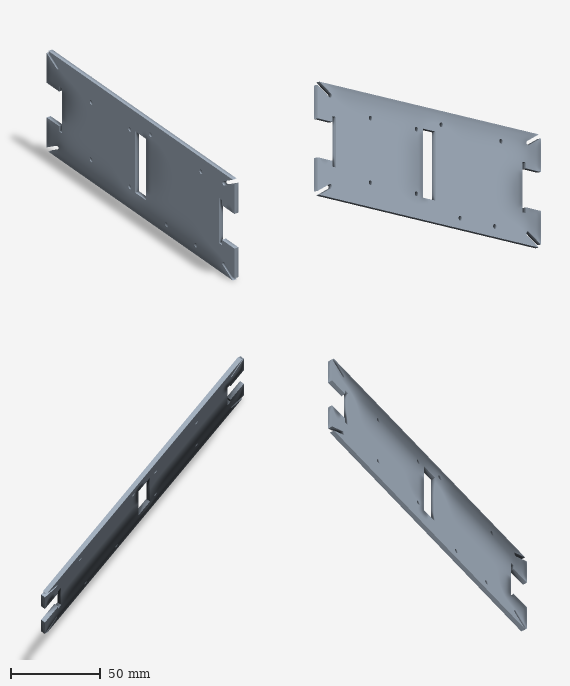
import cadquery as cq
import math

length = 180.0
thickness = 2.7
height = 65.0

notch_height = 22.3
notch_depth = 12.0
undercut_height = 29.0
undercut_width = thickness

slot_width = 2.5
slot_angle = 30.0
slot_end_inset_x = 10.3
slot_end_inset_z = 6.5
slot_run = 21.6

window_width = 10.3
window_height = 39.6

hole_diameter = 2.7
pattern_center_x = -28.8
pattern_pitch = 37.0
single_holes = [(9.7, 24.5), (58.0, 23.2), (25.0, -26.5), (53.0, -26.5)]


def bar(width, depth, center_x, center_z=0.0):
    """Box through the plate, width along X and depth along Z."""
    return cq.Workplane("XY").box(width, 2 * thickness, depth).translate((center_x, 0, center_z))


def end_notch(side):
    """T-shaped notch at the end given by side (-1 or 1)."""
    edge = side * length / 2
    mouth = bar(2 * notch_depth, notch_height, edge)
    undercut_x = edge - side * (notch_depth + undercut_width / 2)
    return mouth.union(bar(undercut_width, undercut_height, undercut_x))


def corner_slot(side_x, side_z):
    """Slot from its round inner end out through one corner."""
    end_x = side_x * (length / 2 - slot_end_inset_x)
    end_z = side_z * (height / 2 - slot_end_inset_z)
    angle = math.radians(slot_angle)
    center_x = end_x + side_x * slot_run / 2 * math.cos(angle)
    center_z = end_z + side_z * slot_run / 2 * math.sin(angle)
    return (
        cq.Workplane("XZ")
        .center(center_x, center_z)
        .slot2D(slot_run + slot_width, slot_width, side_x * side_z * slot_angle)
        .extrude(thickness, both=True)
    )


plate = cq.Workplane("XY").box(length, thickness, height)
plate = plate.cut(bar(window_width, window_height, 0))

for side_x in (-1, 1):
    plate = plate.cut(end_notch(side_x))
    for side_z in (-1, 1):
        plate = plate.cut(corner_slot(side_x, side_z))

half_pitch = pattern_pitch / 2
pattern_holes = [
    (pattern_center_x + i * half_pitch, k * half_pitch) for i in (-1, 1) for k in (-1, 1)
]
holes = (
    cq.Workplane("XZ")
    .pushPoints(pattern_holes + single_holes)
    .circle(hole_diameter / 2)
    .extrude(thickness, both=True)
)

result = plate.cut(holes)